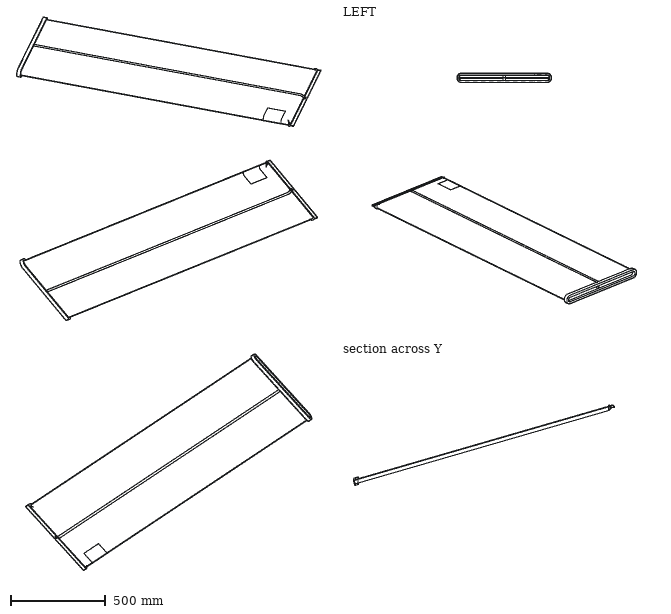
import cadquery as cq

length = 1530.0
collar_width, collar_height, collar_length = 500.0, 50.0, 20.0
body_width, body_height = 482.0, 32.0
wall = 3.0
edge_flat = 3.0

taper_start = 1490.0
flare_start = 1500.0
fin_start = 1513.0
fin_thickness = 5.0
arc_bulge = 2.6

seam_width, seam_depth = 14.0, 0.5
seam_end = 1521.0

patch_start, patch_length, patch_reach = 1360.0, 98.0, 81.0
patch_thickness = 0.5

cavity_tip = 2.0


def rounded_bar(x_start, x_end, width, height):
    """Flat bar along X with rounded long sides."""
    radius = (height - edge_flat) / 2
    return (
        cq.Workplane("YZ", origin=(x_start, 0, 0))
        .rect(width, height)
        .extrude(x_end - x_start)
        .edges("|X")
        .fillet(radius)
    )


def block(x_start, x_end, y_start, y_end, height):
    """Box centred on Z between the given X and Y limits."""
    return (
        cq.Workplane("XY")
        .box(x_end - x_start, y_end - y_start, height, centered=(False, False, True))
        .translate((x_start, y_start, 0))
    )


def closing_profile(x_end, width, height, end_height):
    """Side profile, full height along the body and bowed in to end_height, extruded across Y."""
    half, half_end = height / 2, end_height / 2
    middle_x = (taper_start + fin_start) / 2 + arc_bulge
    middle_z = (half + half_end) / 2 + arc_bulge
    outline = (
        cq.Workplane("XZ")
        .moveTo(0, -half)
        .lineTo(taper_start, -half)
        .threePointArc((middle_x, -middle_z), (fin_start, -half_end))
    )
    if x_end > fin_start:
        outline = outline.lineTo(x_end, -half_end).lineTo(x_end, half_end)
    return (
        outline.lineTo(fin_start, half_end)
        .threePointArc((middle_x, middle_z), (taper_start, half))
        .lineTo(0, half)
        .close()
        .extrude(width / 2, both=True)
    )


def flared_plan():
    """Plan outline of the sleeve, spreading to the fin width at the closed end."""
    half, half_end = body_width / 2, collar_width / 2
    return (
        cq.Workplane("XY")
        .moveTo(0, -half)
        .lineTo(flare_start, -half)
        .lineTo(fin_start, -half_end)
        .lineTo(length, -half_end)
        .lineTo(length, half_end)
        .lineTo(fin_start, half_end)
        .lineTo(flare_start, half)
        .lineTo(0, half)
        .close()
        .extrude(body_height, both=True)
    )


collar = rounded_bar(0, collar_length, collar_width, collar_height)
rounded_body = rounded_bar(0, flare_start, body_width, body_height)
flared_tail = block(flare_start, length, -collar_width / 2, collar_width / 2, body_height)
sleeve = (
    closing_profile(length, collar_width, body_height, fin_thickness)
    .intersect(flared_plan())
    .intersect(rounded_body.union(flared_tail))
)

groove_inset = 2 * seam_depth
groove_core = closing_profile(
    length, 2 * seam_width, body_height - groove_inset, fin_thickness - groove_inset
)
seam_zone = block(collar_length, seam_end, -seam_width / 2, seam_width / 2, collar_height)
seam_groove = seam_zone.cut(groove_core)

patch_end = patch_start + patch_length
patch_skin = rounded_bar(
    patch_start, patch_end, body_width + 2 * patch_thickness, body_height + 2 * patch_thickness
)
patch_zone = block(
    patch_start, patch_end, -collar_width / 2, patch_reach - body_width / 2, collar_height
)
patch = patch_skin.intersect(patch_zone)

inner_width = body_width - 2 * wall
inner_height = body_height - 2 * wall
cavity_profile = closing_profile(fin_start, inner_width, inner_height, cavity_tip).translate((-wall, 0, 0))
cavity = cavity_profile.intersect(rounded_bar(-wall, fin_start, inner_width, inner_height))

outside = sleeve.cut(seam_groove).union(collar).union(patch)
result = outside.cut(cavity)